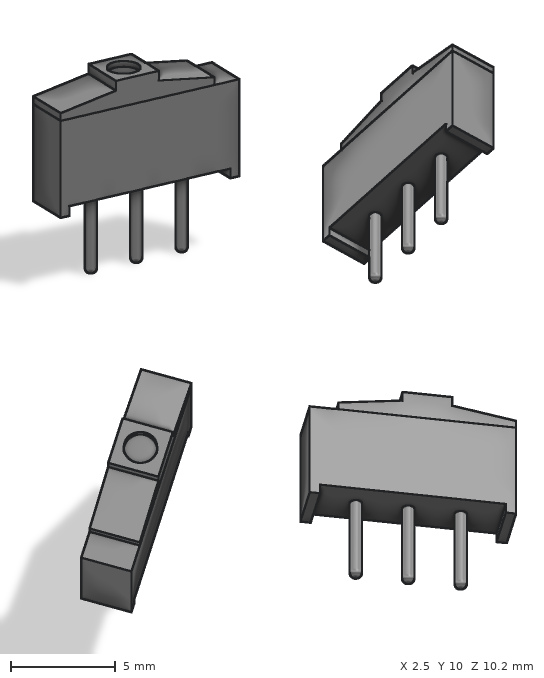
import cadquery as cq

width = 2.5
length = 10.0
housing_height = 5.0
foot_height = 0.5
foot_length = 0.5

overall_height = 10.2
slider_height = 1.4
slider_edge_height = 0.4
slope_top_height = 0.9
slider_back_y = 3.6
button_front_y = -1.91
button_back_y = 0.5
dimple_diameter = 1.6
dimple_depth = 0.3

pin_count = 3
pin_pitch = 2.54
pin_diameter = 0.6

pin_radius = pin_diameter / 2
slider_top = housing_height + slider_height
pin_tip_z = slider_top - overall_height


def make_housing():
    """Block with the underside cleared between the two end feet."""
    block = cq.Workplane("XY").box(width, length, housing_height, centered=(True, True, False))
    clearance = cq.Workplane("XY").box(
        width, length - 2 * foot_length, foot_height, centered=(True, True, False)
    )
    return block.cut(clearance)


def make_slider():
    """Sloped profile across the full width, with a round finger dimple in the button."""
    front_y = -length / 2
    edge_z = housing_height + slider_edge_height
    slope_top_z = housing_height + slope_top_height
    profile = [
        (front_y, housing_height),
        (front_y, edge_z),
        (button_front_y, slope_top_z),
        (button_front_y, slider_top),
        (button_back_y, slider_top),
        (button_back_y, slope_top_z),
        (slider_back_y, edge_z),
        (slider_back_y, housing_height),
    ]
    body = cq.Workplane("YZ").polyline(profile).close().extrude(width / 2, both=True)
    dimple = (
        cq.Workplane("XY", origin=(0, (button_front_y + button_back_y) / 2, slider_top))
        .circle(dimple_diameter / 2)
        .extrude(-dimple_depth)
    )
    return body.cut(dimple)


def make_pin(y):
    """Rod hanging from the housing underside, rounded at its lower end."""
    tip_center_z = pin_tip_z + pin_radius
    rod = (
        cq.Workplane("XY", origin=(0, y, tip_center_z))
        .circle(pin_radius)
        .extrude(foot_height - tip_center_z)
    )
    tip = cq.Workplane("XY", origin=(0, y, tip_center_z)).sphere(pin_radius)
    return rod.union(tip)


housing = make_housing()
slider = make_slider()
pins = []
for index in range(pin_count):
    pin_y = (index - (pin_count - 1) / 2) * pin_pitch
    pins.append(make_pin(pin_y))

result = cq.Compound.makeCompound([housing.val(), slider.val(), *[pin.val() for pin in pins]])